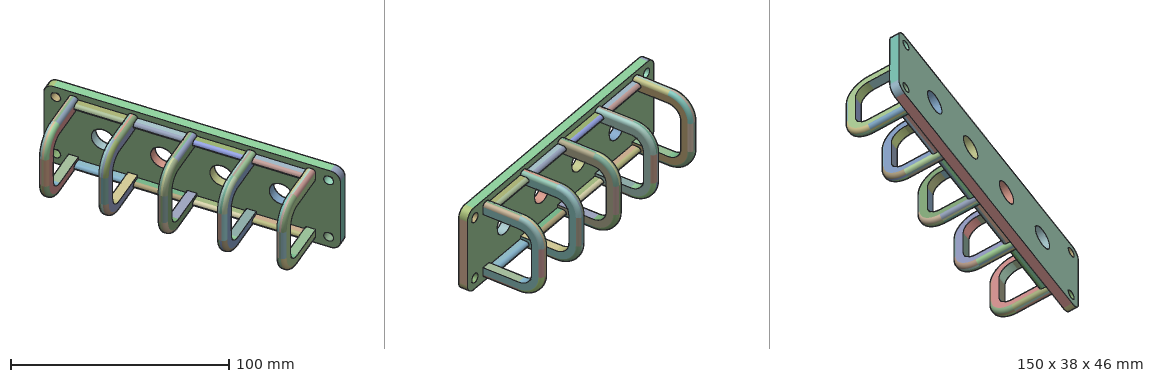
import cadquery as cq
import math

plate_length = 150.0
plate_height = 46.0
plate_thickness = 5.0
corner_radius = 5.0
mount_hole_diameter = 5.0
mount_hole_inset = 6.0

switch_count = 4
switch_pitch = 30.0
switch_hole_diameter = 12.0

guard_reach = 33.0
guard_height = 42.0
guard_width = 5.0
guard_bar = 6.0
guard_bend_radius = 13.0
guard_edge_fillet = 2.0

rail_reach = 5.0
rail_height = 3.0
rail_edge_radius = 2.0

front_face_y = -plate_thickness
guard_count = switch_count + 1
guard_span = switch_count * switch_pitch
rail_z = (guard_height - guard_bar) / 2


def make_plate():
    """Rounded plate with corner mounting holes and a row of switch openings."""
    mount_spacing_x = plate_length - 2 * mount_hole_inset
    mount_spacing_z = plate_height - 2 * mount_hole_inset
    return (
        cq.Workplane("XZ")
        .rect(plate_length, plate_height)
        .extrude(plate_thickness)
        .edges("|Y")
        .fillet(corner_radius)
        .faces("<Y")
        .workplane(origin=(0, front_face_y, 0))
        .rect(mount_spacing_x, mount_spacing_z, forConstruction=True)
        .vertices()
        .hole(mount_hole_diameter)
        .faces("<Y")
        .workplane(origin=(0, front_face_y, 0))
        .rarray(switch_pitch, 1.5, switch_count, 1)
        .hole(switch_hole_diameter)
    )


def guard_blank(height, reach, bend_radius):
    """Block from the plate's front face outward, with its two outer corners rounded."""
    return (
        cq.Workplane("XY")
        .box(guard_width, reach, height)
        .edges("|X and <Y")
        .fillet(bend_radius)
        .translate((0, front_face_y - reach / 2, 0))
    )


def make_guard():
    """U-shaped loop with rounded outer edges and square inner edges."""
    outer = guard_blank(guard_height, guard_reach, guard_bend_radius)
    outer = outer.faces("<X or >X").edges("not >Y").fillet(guard_edge_fillet)
    opening = guard_blank(
        guard_height - 2 * guard_bar,
        guard_reach - guard_bar,
        guard_bend_radius - guard_bar,
    )
    return outer.cut(opening)


def make_rail(z):
    """Straight rail joining all the guards; two arcs meet in a ridge along its front."""
    half_height = rail_height / 2
    centre_offset = rail_edge_radius - half_height
    arch_depth = math.sqrt(rail_edge_radius**2 - centre_offset**2)
    ridge_y = front_face_y - rail_reach
    arch_y = ridge_y + arch_depth
    return (
        cq.Workplane("YZ", origin=(-guard_span / 2, 0, z))
        .moveTo(front_face_y, half_height)
        .lineTo(arch_y, half_height)
        .radiusArc((ridge_y, 0), -rail_edge_radius)
        .radiusArc((arch_y, -half_height), -rail_edge_radius)
        .lineTo(front_face_y, -half_height)
        .close()
        .extrude(guard_span)
    )


result = make_plate()

for z in (-rail_z, rail_z):
    result = result.union(make_rail(z))

guard = make_guard()
for index in range(guard_count):
    guard_x = index * switch_pitch - guard_span / 2
    result = result.union(guard.translate((guard_x, 0, 0)))